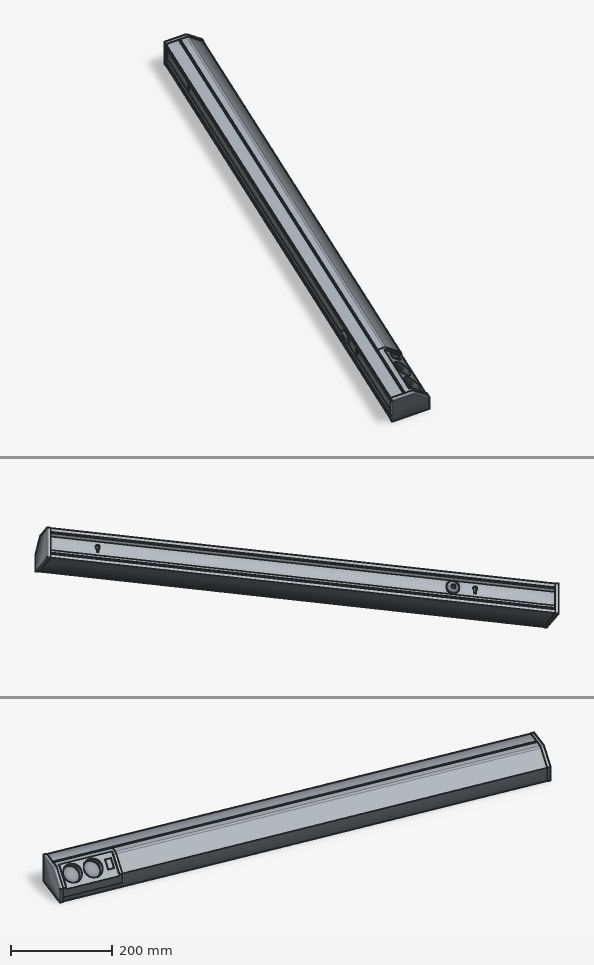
import cadquery as cq
import math

LENGTH = 1060.0
DEPTH = 83.0
HEIGHT = 64.0
RIDGE_Y = 49.0
BACK_HEIGHT = 33.0
RIDGE_RADIUS = 8.0
SLOPE_ANGLE = math.atan2(HEIGHT - BACK_HEIGHT, DEPTH - RIDGE_Y)

CAP_LENGTH = 8.0
CAP_ROUNDING = 1.5
CAP_PROUD = 0.5

CHANNEL_FLOOR_HALF = 14.3
CHANNEL_MOUTH_HALF = 20.7
CHANNEL_DEPTH = 3.0
GROOVE_WIDTH = 2.6
GROOVE_DEPTH = 3.0
TOP_GROOVE_Y = 29.2
MID_Z = HEIGHT / 2

KEYHOLE_XS = (106.0, 887.0)
KEYHOLE_HEAD_DIAMETER = 9.0
KEYHOLE_SLOT_WIDTH = 5.0
KEYHOLE_HEAD_Z = 35.0
KEYHOLE_SLOT_END_Z = 26.0
KEYHOLE_DEPTH = 5.0

GROMMET_X = 841.0
GROMMET_DIAMETER = 26.0
GROMMET_BORE = 9.0
GROMMET_RIM = 3.0
GROMMET_SHOULDER_Y = 1.0
GROMMET_REACH = 3.0

MODULE_START_X = 924.0
MODULE_END_X = LENGTH - CAP_LENGTH
MODULE_FRONT_Y = TOP_GROOVE_Y + GROOVE_WIDTH
MODULE_BOTTOM_Z = 11.0
RECESS_START_X = 931.0
RECESS_END_X = 1045.0
RECESS_DEPTH = 3.0
DEVICE_Y = 64.0
SOCKET_XS = (978.0, 1023.0)
SOCKET_DIAMETER = 39.0
SOCKET_DEPTH = 19.0
ROCKER_X = 943.0
ROCKER_WIDTH = 13.0
ROCKER_HALF_LENGTH = 11.0
ROCKER_LOW = 2.0
ROCKER_HIGH = 6.0


def bar(start_x, length, inset):
    """Solid bar with the lamp outline, shrunk all round by the inset, with a rounded ridge."""
    outline = [(0, 0), (DEPTH, 0), (DEPTH, BACK_HEIGHT), (RIDGE_Y, HEIGHT), (0, HEIGHT)]
    section = cq.Workplane("YZ", origin=(start_x, 0, 0)).polyline(outline).close()
    sharp = section.offset2D(-inset).extrude(length)
    ridge = cq.selectors.NearestToPointSelector((start_x + length / 2, RIDGE_Y, HEIGHT))
    return sharp.edges("|X").edges(ridge).fillet(RIDGE_RADIUS)


def block(start, end):
    """Box between two opposite corners."""
    size = [b - a for a, b in zip(start, end)]
    return cq.Workplane("XY").box(*size, centered=False).translate(start)


def slope_plane(x, depth):
    """Plane parallel to the slope, sunk below it, with local Y running down the slope."""
    sine = math.sin(SLOPE_ANGLE)
    cosine = math.cos(SLOPE_ANGLE)
    surface_z = HEIGHT - (DEVICE_Y - RIDGE_Y) * math.tan(SLOPE_ANGLE)
    sunk = depth + CAP_PROUD
    origin = (x, DEVICE_Y - sunk * sine, surface_z - sunk * cosine)
    return cq.Plane(origin=origin, xDir=(1, 0, 0), normal=(0, sine, cosine))


def end_cap(start_x, outer_face):
    return bar(start_x, CAP_LENGTH, 0).faces(outer_face).edges().fillet(CAP_ROUNDING)


def front_channel():
    """Long shallow channel with sloping flanks in the front face."""
    floor_y = CAP_PROUD + CHANNEL_DEPTH
    section = [
        (0, MID_Z - CHANNEL_MOUTH_HALF),
        (CAP_PROUD, MID_Z - CHANNEL_MOUTH_HALF),
        (floor_y, MID_Z - CHANNEL_FLOOR_HALF),
        (floor_y, MID_Z + CHANNEL_FLOOR_HALF),
        (CAP_PROUD, MID_Z + CHANNEL_MOUTH_HALF),
        (0, MID_Z + CHANNEL_MOUTH_HALF),
    ]
    profile_length = LENGTH - 2 * CAP_LENGTH
    return cq.Workplane("YZ", origin=(CAP_LENGTH, 0, 0)).polyline(section).close().extrude(profile_length)


def long_grooves():
    """Two grooves beside the front channel and one along the top."""
    start_x = CAP_LENGTH
    end_x = LENGTH - CAP_LENGTH
    upper_z = MID_Z + CHANNEL_MOUTH_HALF
    lower_z = MID_Z - CHANNEL_MOUTH_HALF - GROOVE_WIDTH
    grooves = block(
        (start_x, TOP_GROOVE_Y, HEIGHT - CAP_PROUD - GROOVE_DEPTH),
        (end_x, TOP_GROOVE_Y + GROOVE_WIDTH, HEIGHT),
    )
    for z in (lower_z, upper_z):
        grooves = grooves.add(block((start_x, 0, z), (end_x, CAP_PROUD + GROOVE_DEPTH, z + GROOVE_WIDTH)))
    return grooves.combine()


def keyhole(x):
    floor_y = CAP_PROUD + CHANNEL_DEPTH
    slot_length = KEYHOLE_HEAD_Z - KEYHOLE_SLOT_END_Z
    face = cq.Workplane("XZ", origin=(x, floor_y, KEYHOLE_HEAD_Z))
    head = face.circle(KEYHOLE_HEAD_DIAMETER / 2).extrude(-KEYHOLE_DEPTH)
    slot = (
        face.center(0, -slot_length / 2)
        .slot2D(slot_length + KEYHOLE_SLOT_WIDTH, KEYHOLE_SLOT_WIDTH, 90)
        .extrude(-KEYHOLE_DEPTH)
    )
    return head.union(slot)


def grommet():
    """Domed ring standing on the channel floor, flat around its bore."""
    floor_y = CAP_PROUD + CHANNEL_DEPTH
    outer = GROMMET_DIAMETER / 2
    inner = GROMMET_BORE / 2
    ring = (
        cq.Workplane("XY")
        .moveTo(inner, -GROMMET_REACH)
        .lineTo(inner + GROMMET_RIM, -GROMMET_REACH)
        .tangentArcPoint((outer, GROMMET_SHOULDER_Y), relative=False)
        .lineTo(outer, floor_y)
        .lineTo(inner, floor_y)
        .close()
        .revolve(360, (0, 0, 0), (0, 1, 0))
    )
    return ring.translate((GROMMET_X, 0, MID_Z))


def module_blank():
    """Rear upper part of the profile that the socket module fills."""
    envelope = block((MODULE_START_X, MODULE_FRONT_Y, MODULE_BOTTOM_Z), (MODULE_END_X, DEPTH, HEIGHT))
    return bar(MODULE_START_X, MODULE_END_X - MODULE_START_X, CAP_PROUD).intersect(envelope)


def rocker():
    """Switch rocker, flat on its upper half and curving up to the raised lower end."""
    side = cq.Plane(
        origin=slope_plane(ROCKER_X, RECESS_DEPTH).origin.toTuple(),
        xDir=(0, math.cos(SLOPE_ANGLE), -math.sin(SLOPE_ANGLE)),
        normal=(-1, 0, 0),
    )
    return (
        cq.Workplane(side)
        .moveTo(-ROCKER_HALF_LENGTH, -ROCKER_LOW)
        .lineTo(-ROCKER_HALF_LENGTH, ROCKER_LOW)
        .lineTo(0, ROCKER_LOW)
        .tangentArcPoint((ROCKER_HALF_LENGTH, ROCKER_HIGH), relative=False)
        .lineTo(ROCKER_HALF_LENGTH, -ROCKER_LOW)
        .close()
        .extrude(ROCKER_WIDTH / 2, both=True)
    )


def make_housing():
    housing = bar(CAP_LENGTH, LENGTH - 2 * CAP_LENGTH, CAP_PROUD)
    housing = housing.cut(front_channel()).cut(long_grooves())
    for x in KEYHOLE_XS:
        housing = housing.cut(keyhole(x))
    housing = housing.cut(module_blank()).union(grommet())
    housing = housing.union(end_cap(0, "<X"))
    return housing.union(end_cap(LENGTH - CAP_LENGTH, ">X"))


def make_socket_module():
    module = module_blank()
    recess_middle = (RECESS_START_X + RECESS_END_X) / 2
    recess = (
        cq.Workplane(slope_plane(recess_middle, RECESS_DEPTH))
        .rect(RECESS_END_X - RECESS_START_X, 2 * DEPTH)
        .extrude(HEIGHT)
    )
    module = module.cut(recess)
    for x in SOCKET_XS:
        socket = (
            cq.Workplane(slope_plane(x, RECESS_DEPTH)).circle(SOCKET_DIAMETER / 2).extrude(-SOCKET_DEPTH)
        )
        module = module.cut(socket)
    return module.union(rocker())


housing = make_housing()
socket_module = make_socket_module()

result = cq.Compound.makeCompound([housing.val(), socket_module.val()])